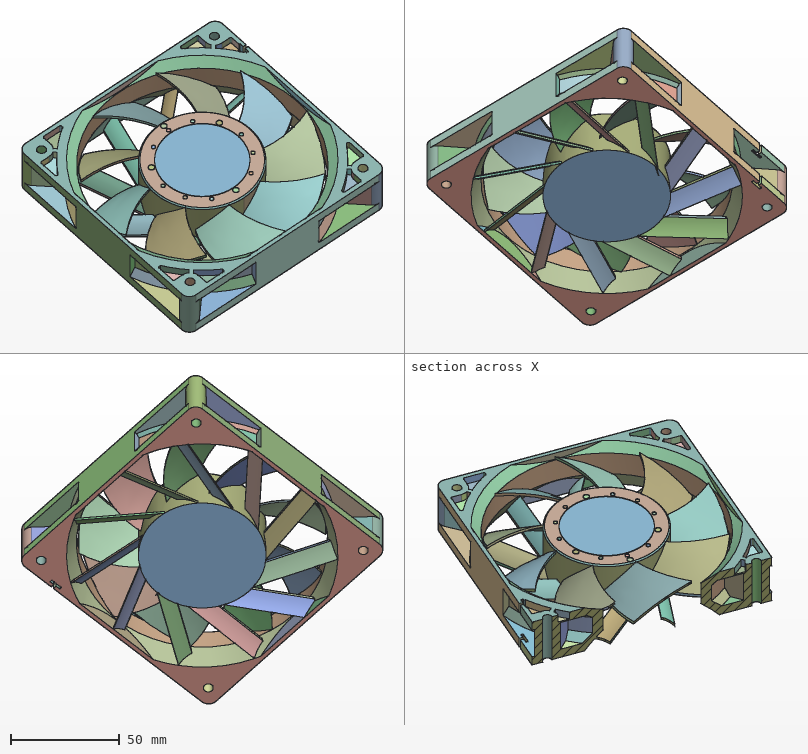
import cadquery as cq
import math

FRAME_SIZE = 120.0
FRAME_HEIGHT = 25.4
CORNER_RADIUS = 4.65
FLANGE_THICKNESS = 5.0
FLANGE_UNDERSIDE = FRAME_HEIGHT - FLANGE_THICKNESS
HALF_SIZE = FRAME_SIZE / 2
MOUNT_OFFSET = 52.3
MOUNT_DIAMETER = 4.5
OVERSHOOT = 1.0
DIAGONAL_ANGLE = 45

RECESS_START = 19.0
SHELL_RADIUS = 60.25
SHELL_BOTTOM_RADIUS = 63.0
SHELL_TOP_RADIUS = 61.75
SHELL_LOW_BEND = 9.5
SHELL_HIGH_BEND = 18.5

THROAT_RADIUS = 57.7
MOUTH_RADIUS = 62.3
THROAT_LOW = 9.5
THROAT_HIGH = 21.6
DUCT_HALF_WIDTH = 57.9

POCKET_DEPTH = 4.0
POCKET_OUTER = 57.7
POCKET_FAR_END = 36.1
POCKET_NEAR_END = 46.9
POCKET_INNER_RADIUS = 66.8
POCKET_WEB = 2.1
POCKET_CORNER_RADIUS = 0.6
MOUNT_BOSS_RADIUS = 5.4

CABLE_SLOT_X = -38.2
CABLE_NECK_WIDTH = 1.3
CABLE_HEAD_WIDTH = 6.0
CABLE_HEAD_TOP = 58.2
CABLE_HEAD_BOTTOM = 57.1

HUB_RADIUS = 29.3
HUB_TOP = 24.7
HUB_BEVEL = 0.7
HUB_BITE = 1.5
LABEL_RADIUS = 21.9
LABEL_DEPTH = 0.3
BALANCE_CIRCLE_RADIUS = 23.7
BALANCE_COUNT = 12
LARGE_HOLE_COUNT = 3
BALANCE_SMALL_DIAMETER = 2.0
BALANCE_LARGE_DIAMETER = 3.0
BALANCE_DEPTH = 0.3
KEY_HOLE_RADIUS = 27.0

BLADE_COUNT = 9
BLADE_TIP_RADIUS = 56.8
BLADE_TOP = 24.3
BLADE_MIDDLE = 18.0
BLADE_BOTTOM = 9.5
BLADE_THICKNESS = 1.5
BLADE_ROOT_RADIUS = 26.0
BLADE_ROOT_ANGLES = (-18.0, -49.3)
BLADE_END_RADIUS = 60.0
BLADE_END_ANGLES = (3.3, -25.0)
BLADE_SECTIONS = 4

VANE_COUNT = 11
VANE_INNER_OFFSET = 18.5
VANE_OUTER_OFFSET = 25.1
VANE_TOP = 8.0
VANE_BEND = 5.5
VANE_THICKNESS = 1.5
VANE_REACH = 58.5
VANE_START_ANGLE = 0.8

FIN_Y = 29.0
FIN_THICKNESS = 0.15
FIN_WIDTH = 0.9
FIN_TIP_X = -2.3
FIN_DROP = 3.66


def cylinder(radius, bottom, top):
    return cq.Workplane("XY").workplane(offset=bottom).circle(radius).extrude(top - bottom)


def block(x_range, y_range, z_range):
    sizes = [high - low for low, high in (x_range, y_range, z_range)]
    corner = (x_range[0], y_range[0], z_range[0])
    return cq.Workplane("XY").box(*sizes, centered=False).translate(corner)


def spun(profile):
    """Solid of revolution about Z from (radius, height) points, closed on the axis."""
    points = [(0, profile[0][1])] + profile + [(0, profile[-1][1])]
    return cq.Workplane("XZ").polyline(points).close().revolve(360, (0, 0), (0, 1))


def turned(shape, angle):
    return shape.rotate((0, 0, 0), (0, 0, 1), angle)


def around(shape, count):
    """Copies of a shape evenly spaced about the Z axis."""
    return [turned(shape, i * 360 / count) for i in range(count)]


def with_diagonal_twin(shape):
    """A shape together with its mirror image across the vertical plane X = Y."""
    return shape.union(turned(shape.mirror("YZ"), -90))


def corner_recesses():
    """Open spaces either side of the diagonal rib that ends in the +X +Y corner column.

    The rib is as wide as the column, so its faces run tangent into the column's round.
    """
    outside = HALF_SIZE + OVERSHOOT
    column = HALF_SIZE - CORNER_RADIUS
    diagonal_part = CORNER_RADIUS * math.sin(math.radians(DIAGONAL_ANGLE))
    bisector = math.radians(-DIAGONAL_ANGLE / 2)
    arc_middle = (
        column + CORNER_RADIUS * math.cos(bisector),
        column + CORNER_RADIUS * math.sin(bisector),
    )
    rib_joint = (column + diagonal_part, column - diagonal_part)
    rib_start = (RECESS_START + 2 * diagonal_part, RECESS_START)
    recess = (
        cq.Workplane("XY")
        .workplane(offset=FLANGE_THICKNESS)
        .moveTo(*rib_start)
        .lineTo(outside, RECESS_START)
        .lineTo(outside, column)
        .lineTo(HALF_SIZE, column)
        .threePointArc(arc_middle, rib_joint)
        .close()
        .extrude(FLANGE_UNDERSIDE - FLANGE_THICKNESS)
    )
    shell = spun([
        (SHELL_BOTTOM_RADIUS, FLANGE_THICKNESS),
        (SHELL_RADIUS, SHELL_LOW_BEND),
        (SHELL_RADIUS, SHELL_HIGH_BEND),
        (SHELL_TOP_RADIUS, FLANGE_UNDERSIDE),
    ])
    return with_diagonal_twin(recess.cut(shell))


def corner_pockets():
    """Pair of mirrored pockets beside the mounting hole at the +X +Y corner."""
    z_range = (FRAME_HEIGHT - POCKET_DEPTH, FRAME_HEIGHT + OVERSHOOT)
    web = block((0, FRAME_SIZE), (-POCKET_WEB / 2, HALF_SIZE), z_range)
    pocket = (
        block((0, POCKET_OUTER), (POCKET_FAR_END, MOUNT_OFFSET), z_range)
        .cut(block((MOUNT_OFFSET, HALF_SIZE), (POCKET_NEAR_END, HALF_SIZE), z_range))
        .cut(cylinder(MOUNT_BOSS_RADIUS, *z_range).translate((MOUNT_OFFSET, MOUNT_OFFSET, 0)))
        .cut(cylinder(POCKET_INNER_RADIUS, *z_range))
        .cut(turned(web, DIAGONAL_ANGLE))
    )
    pocket = pocket.edges("|Z and >X").fillet(POCKET_CORNER_RADIUS)
    return with_diagonal_twin(pocket)


def duct():
    """Air passage, flared at both ends and flattened where it nears the frame sides."""
    passage = spun([
        (MOUTH_RADIUS, 0),
        (THROAT_RADIUS, THROAT_LOW),
        (THROAT_RADIUS, THROAT_HIGH),
        (MOUTH_RADIUS, FRAME_HEIGHT),
    ])
    span = (-DUCT_HALF_WIDTH, DUCT_HALF_WIDTH)
    return passage.intersect(block(span, span, (0, FRAME_HEIGHT)))


def cable_slot():
    z_range = (0, FRAME_HEIGHT)
    neck_span = (CABLE_SLOT_X - CABLE_NECK_WIDTH / 2, CABLE_SLOT_X + CABLE_NECK_WIDTH / 2)
    head_span = (CABLE_SLOT_X - CABLE_HEAD_WIDTH / 2, CABLE_SLOT_X + CABLE_HEAD_WIDTH / 2)
    neck = block(neck_span, (CABLE_HEAD_BOTTOM, HALF_SIZE + OVERSHOOT), z_range)
    head = block(head_span, (CABLE_HEAD_BOTTOM, CABLE_HEAD_TOP), z_range)
    return neck.union(head)


def make_frame():
    frame = (
        cq.Workplane("XY")
        .rect(FRAME_SIZE, FRAME_SIZE)
        .extrude(FRAME_HEIGHT)
        .edges("|Z")
        .fillet(CORNER_RADIUS)
    )
    mount_hole = cylinder(MOUNT_DIAMETER / 2, 0, FRAME_HEIGHT)
    mount_hole = mount_hole.translate((MOUNT_OFFSET, MOUNT_OFFSET, 0))
    for corner_cut in (corner_recesses(), corner_pockets(), mount_hole):
        for cutter in around(corner_cut, 4):
            frame = frame.cut(cutter)
    return frame.cut(duct()).cut(cable_slot())


def make_hub():
    hub = cylinder(HUB_RADIUS, 0, HUB_TOP).faces(">Z").chamfer(HUB_BEVEL)
    hub = hub.cut(cylinder(LABEL_RADIUS, HUB_TOP - LABEL_DEPTH, HUB_TOP))
    hole_floor = HUB_TOP - BALANCE_DEPTH
    small_hole = cylinder(BALANCE_SMALL_DIAMETER / 2, hole_floor, HUB_TOP)
    large_hole = cylinder(BALANCE_LARGE_DIAMETER / 2, hole_floor, HUB_TOP)
    for i in range(BALANCE_COUNT):
        angle = math.radians(i * 360 / BALANCE_COUNT)
        place = (BALANCE_CIRCLE_RADIUS * math.cos(angle), BALANCE_CIRCLE_RADIUS * math.sin(angle), 0)
        is_large = i % (BALANCE_COUNT // LARGE_HOLE_COUNT) == 0
        hole = large_hole if is_large else small_hole
        hub = hub.cut(hole.translate(place))
    return hub.cut(large_hole.translate((-KEY_HOLE_RADIUS, 0, 0)))


def blade_section(fraction):
    """Curved blade section on a plane facing outward, fraction 0 at the root and 1 at the end."""
    radius = BLADE_ROOT_RADIUS + fraction * (BLADE_END_RADIUS - BLADE_ROOT_RADIUS)
    leading, trailing = [
        root + fraction * (end - root) for root, end in zip(BLADE_ROOT_ANGLES, BLADE_END_ANGLES)
    ]
    middle = math.radians((leading + trailing) / 2)
    half_span = math.radians((leading - trailing) / 2)
    distance = radius * math.cos(half_span)
    half_chord = radius * math.sin(half_span)
    outward = (math.cos(middle), math.sin(middle), 0)
    plane = cq.Plane(
        origin=(distance * outward[0], distance * outward[1], 0),
        xDir=(-outward[1], outward[0], 0),
        normal=outward,
    )
    sketch = (
        cq.Workplane(plane)
        .moveTo(half_chord, BLADE_TOP)
        .threePointArc((0, BLADE_MIDDLE), (-half_chord, BLADE_BOTTOM))
        .lineTo(-half_chord, BLADE_BOTTOM - BLADE_THICKNESS)
        .threePointArc((0, BLADE_MIDDLE - BLADE_THICKNESS), (half_chord, BLADE_TOP - BLADE_THICKNESS))
        .close()
    )
    return sketch.val()


def make_blade():
    sections = [blade_section(i / (BLADE_SECTIONS - 1)) for i in range(BLADE_SECTIONS)]
    blade = cq.Workplane("XY").add(cq.Solid.makeLoft(sections))
    hub_core = cylinder(HUB_RADIUS - HUB_BITE, 0, FRAME_HEIGHT)
    return blade.intersect(cylinder(BLADE_TIP_RADIUS, 0, FRAME_HEIGHT).cut(hub_core))


def make_vane():
    """Curved vane along X, offset from the hub axis and not yet trimmed to the duct and hub."""
    middle_offset = (VANE_INNER_OFFSET + VANE_OUTER_OFFSET) / 2
    return (
        cq.Workplane("YZ")
        .moveTo(VANE_INNER_OFFSET, VANE_TOP)
        .threePointArc((middle_offset, VANE_BEND), (VANE_OUTER_OFFSET, VANE_THICKNESS))
        .lineTo(VANE_OUTER_OFFSET, 0)
        .threePointArc(
            (middle_offset, VANE_BEND - VANE_THICKNESS), (VANE_INNER_OFFSET, VANE_TOP - VANE_THICKNESS)
        )
        .close()
        .extrude(HALF_SIZE)
    )


def make_vane_envelope():
    """Region the vanes may fill: the duct plus a small bite into its wall and into the hub."""
    flare = MOUTH_RADIUS - THROAT_RADIUS
    bite = VANE_REACH - THROAT_RADIUS
    span = (-DUCT_HALF_WIDTH - bite, DUCT_HALF_WIDTH + bite)
    cone = spun([(THROAT_RADIUS + flare + bite, 0), (VANE_REACH, THROAT_LOW)])
    hub_core = cylinder(HUB_RADIUS - HUB_BITE, 0, THROAT_LOW)
    return cone.intersect(block(span, span, (0, THROAT_LOW))).cut(hub_core)


def make_fin():
    outline = [(0, OVERSHOOT), (-FIN_WIDTH, OVERSHOOT), (-FIN_WIDTH, 0), (FIN_TIP_X, -FIN_DROP), (0, 0)]
    fin = cq.Workplane("XZ").polyline(outline).close().extrude(FIN_THICKNESS)
    return fin.translate((0, FIN_Y, 0))


rotor = make_hub()
envelope = make_vane_envelope()
for vane in around(turned(make_vane(), VANE_START_ANGLE), VANE_COUNT):
    rotor = rotor.union(vane.intersect(envelope))
for blade in around(make_blade(), BLADE_COUNT):
    rotor = rotor.union(blade)
result = make_frame().union(rotor).union(make_fin())